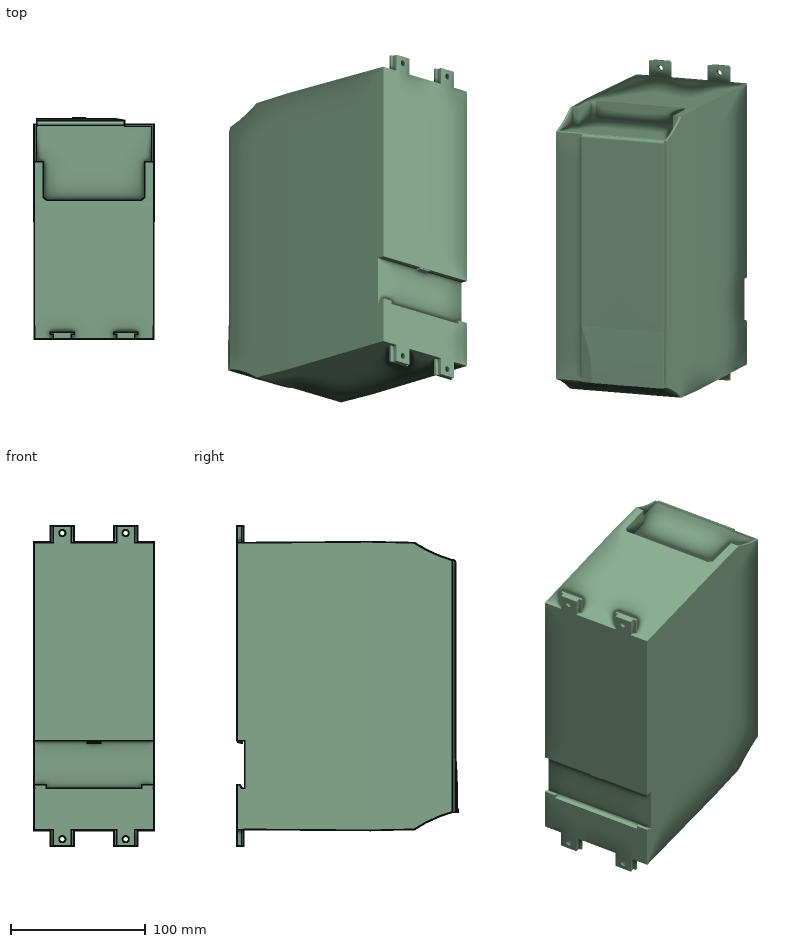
import cadquery as cq

width = 89.0
wall_draft = 0.2
overall_height = 237.5
overall_depth = 164.1
seam_depth = 98.8
seam_half_height = 107.1
end_half_height = 106.5
shoulder_depth = 131.5
bevel_mid_depth = 145.8
bevel_mid_half_height = 98.5
front_depth = 159.5
front_half_height = 93.5

recess_back = 103.0
recess_back_half_width = 37.8
recess_front_half_width = 42.8
front_rim = 1.7
recess_front = front_depth - front_rim
panel_rim = 1.0
recess_panel_front = front_depth - panel_rim
recess_floor = front_half_height
recess_corner = 2.5

panel_left = -42.5
panel_right = 22.8
panel_depth = 162.2
panel_rounding = 2.1
bulge_top = -51.0
bulge_mid = -67.7
bulge_mid_depth = 163.2
bulge_depth = 163.7
bulge_flank_start = 14.3
pull_tab_left = -16.0
pull_tab_width = 9.3
pull_tab_height = 2.4

rail_top = -40.5
rail_bottom = -73.2
rail_depth = 5.7
hook_undercut = 2.5
hook_lip = 2.1
hook_root = 4.0
hook_gap_half_width = 35.5
latch_width = 9.7
latch_near = 0.5
latch_far = 4.0
latch_near_drop = 1.0
latch_far_drop = 2.0

lug_spacing = 47.0
lug_width = 17.5
lug_depth = 5.2
lug_step_width = 2.1
lug_step_depth = 3.5
lug_root = 104.5
hole_diameter = 4.5
hole_height = 113.5


def side_extrusion(outline, x_start, x_end):
    """Extrude a closed (Y, Z) sketch from x_start to x_end."""
    return outline.close().extrude(x_end - x_start).translate((x_start, 0, 0))


def box_between(x, y, z):
    """Box spanning the given (low, high) ranges."""
    size = (x[1] - x[0], y[1] - y[0], z[1] - z[0])
    return cq.Workplane("XY").box(*size, centered=False).translate((x[0], y[0], z[0]))


def make_base():
    """Rear half: tapers slightly from the seam to the wall face."""
    return (
        cq.Workplane("XZ")
        .rect(width - 2 * wall_draft, 2 * end_half_height)
        .workplane(offset=-seam_depth)
        .rect(width, 2 * seam_half_height)
        .loft(ruled=True)
    )


def make_cover():
    """Front half with concave bevels at top and bottom."""
    outline = (
        cq.Workplane("YZ")
        .moveTo(seam_depth, -seam_half_height)
        .lineTo(shoulder_depth, -end_half_height)
        .threePointArc((bevel_mid_depth, -bevel_mid_half_height), (front_depth, -front_half_height))
        .lineTo(front_depth, front_half_height)
        .threePointArc((bevel_mid_depth, bevel_mid_half_height), (shoulder_depth, end_half_height))
        .lineTo(seam_depth, seam_half_height)
    )
    return side_extrusion(outline, -width / 2, width / 2)


def make_recess():
    """Flat-floored pocket in the top, wider beyond the shoulder."""
    heights = (recess_floor, seam_half_height)
    back = box_between(
        (-recess_back_half_width, recess_back_half_width), (recess_back, recess_front), heights
    )
    back = back.edges("|Z and <Y").chamfer(recess_corner)
    front = box_between(
        (-recess_front_half_width, recess_front_half_width), (shoulder_depth, recess_front), heights
    )
    behind_panel = box_between((panel_left, panel_right), (shoulder_depth, recess_panel_front), heights)
    return back.union(front).union(behind_panel)


def make_panel():
    """Raised front panel with a rounded top edge."""
    outline = (
        cq.Workplane("YZ")
        .moveTo(seam_depth, -front_half_height)
        .lineTo(panel_depth, -front_half_height)
        .lineTo(panel_depth, front_half_height - panel_rounding)
        .radiusArc((panel_depth - panel_rounding, front_half_height), -panel_rounding)
        .lineTo(seam_depth, front_half_height)
    )
    return side_extrusion(outline, panel_left, panel_right)


def make_bulge():
    """Swelling of the lower door, fading out towards the right edge."""
    outline = (
        cq.Workplane("YZ")
        .moveTo(front_depth, -front_half_height)
        .lineTo(bulge_depth, -front_half_height)
        .threePointArc((bulge_mid_depth, bulge_mid), (panel_depth, bulge_top))
        .lineTo(front_depth, bulge_top)
    )
    swelling = side_extrusion(outline, panel_left, panel_right)
    plan = (
        cq.Workplane("XY", origin=(0, 0, -front_half_height))
        .moveTo(panel_left, front_depth)
        .lineTo(panel_right, front_depth)
        .lineTo(panel_right, panel_depth)
        .lineTo(bulge_flank_start, bulge_depth)
        .lineTo(panel_left, bulge_depth)
        .close()
        .extrude(bulge_top + front_half_height)
    )
    return swelling.intersect(plan)


def make_pull_tab():
    """Small tab at the lower edge of the door."""
    return box_between(
        (pull_tab_left, pull_tab_left + pull_tab_width),
        (front_depth, overall_depth),
        (-front_half_height, -front_half_height + pull_tab_height),
    )


def make_rail_channel():
    """Channel across the back with a hook below, interrupted in the middle."""
    undercut_bottom = rail_bottom - hook_undercut
    outline = (
        cq.Workplane("YZ")
        .moveTo(0, rail_top)
        .lineTo(rail_depth, rail_top)
        .lineTo(rail_depth, undercut_bottom)
        .lineTo(hook_root, undercut_bottom)
        .lineTo(hook_lip, rail_bottom)
        .lineTo(0, rail_bottom)
    )
    channel = side_extrusion(outline, -width / 2, width / 2)
    hook_gap = box_between(
        (-hook_gap_half_width, hook_gap_half_width), (0, rail_depth), (undercut_bottom, rail_top)
    )
    return channel.union(hook_gap)


def make_latch():
    """Small wedge under the upper edge of the rail channel."""
    outline = (
        cq.Workplane("YZ")
        .moveTo(latch_near, rail_top)
        .lineTo(latch_near, rail_top - latch_near_drop)
        .lineTo(latch_far, rail_top - latch_far_drop)
        .lineTo(latch_far, rail_top)
    )
    return side_extrusion(outline, -latch_width / 2, latch_width / 2)


def make_lug(x, end):
    """Stepped lug with a screw hole; end is +1 for the top, -1 for the bottom."""
    heights = sorted((end * lug_root, end * overall_height / 2))
    half = lug_width / 2
    tongue_half = half - lug_step_width
    tongue = box_between((x - tongue_half, x + tongue_half), (0, lug_depth), heights)
    flange = box_between((x - half, x + half), (lug_step_depth, lug_depth), heights)
    hole = (
        cq.Workplane("XZ", origin=(x, 0, end * hole_height))
        .circle(hole_diameter / 2)
        .extrude(-lug_depth)
    )
    return tongue.union(flange).cut(hole)


body = make_base().union(make_cover()).cut(make_recess())
body = body.union(make_panel()).union(make_bulge()).union(make_pull_tab())
body = body.cut(make_rail_channel()).union(make_latch())
for lug_x in (-lug_spacing / 2, lug_spacing / 2):
    for lug_end in (1, -1):
        body = body.union(make_lug(lug_x, lug_end))

result = body